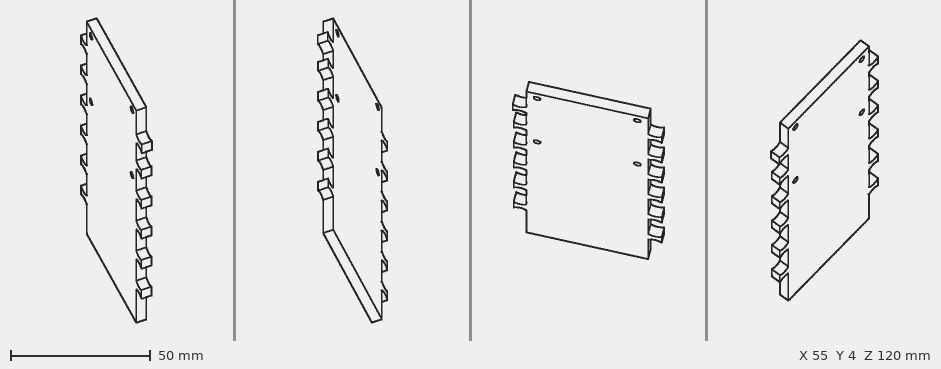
import cadquery as cq

overall_width = 55.0
plate_height = 120.0
plate_thickness = 4.0
tab_length = 5.0
plate_width = overall_width - 2 * tab_length

tab_width = 5.0
tab_waist = 3.1
tabs_per_side = 6
tab_span = 85.0
tab_pitch = tab_span / (tabs_per_side - 1)
top_tab_drop = 16.0
right_row_drop = 30.7
short_tab_length = 4.7

hole_diameter = 2.5
hole_spacing = 37.0
hole_top_drop = 4.0

plate_top = plate_height / 2


def make_tab(side, length, center_z):
    """Tab with concave flanks; side is -1 for left and +1 for right."""
    overlap = 0.6
    root_x = side * plate_width / 2
    inner_x = root_x - side * overlap
    middle_x = root_x + side * length / 2
    tip_x = root_x + side * length
    upper_z = center_z + tab_width / 2
    lower_z = center_z - tab_width / 2
    return (
        cq.Workplane("XZ")
        .moveTo(inner_x, upper_z)
        .lineTo(root_x, upper_z)
        .threePointArc((middle_x, center_z + tab_waist / 2), (tip_x, upper_z))
        .lineTo(tip_x, lower_z)
        .threePointArc((middle_x, center_z - tab_waist / 2), (root_x, lower_z))
        .lineTo(inner_x, lower_z)
        .close()
        .extrude(plate_thickness / 2, both=True)
    )


result = cq.Workplane("XY").box(plate_width, plate_thickness, plate_height)

for index in range(tabs_per_side):
    left_z = plate_top - top_tab_drop - index * tab_pitch
    result = result.union(make_tab(-1, tab_length, left_z))

result = result.union(make_tab(1, tab_length, plate_top - top_tab_drop))
for index in range(tabs_per_side - 1):
    right_z = plate_top - right_row_drop - index * tab_pitch
    result = result.union(make_tab(1, short_tab_length, right_z))

holes = (
    cq.Workplane("XZ")
    .center(0, plate_top - hole_top_drop - hole_spacing / 2)
    .rect(hole_spacing, hole_spacing, forConstruction=True)
    .vertices()
    .circle(hole_diameter / 2)
    .extrude(plate_thickness, both=True)
)
result = result.cut(holes)